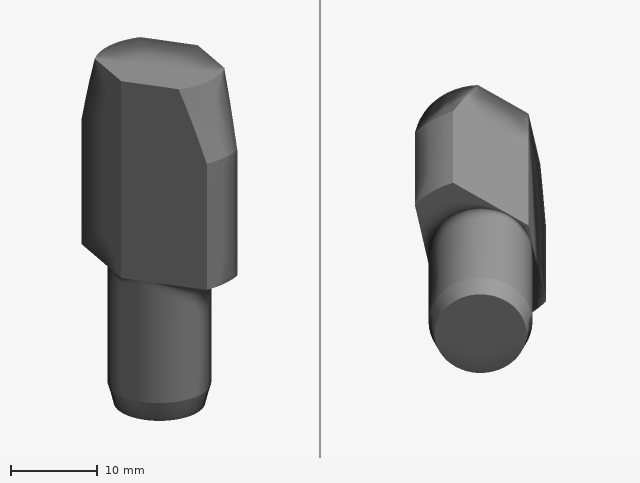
import cadquery as cq
import math

total_height = 43.0
head_height = 25.0
head_diameter = 20.0
head_width = 13.37
corner_half_width = 2.65
head_taper_height = 9.0
shank_diameter = 12.0
tip_height = 2.6
taper_angle = 15.0

shank_height = total_height - head_height
head_radius = head_diameter / 2
shank_radius = shank_diameter / 2
taper_slope = math.tan(math.radians(taper_angle))
head_top_radius = head_radius - head_taper_height * taper_slope
tip_radius = shank_radius - tip_height * taper_slope
ridge_y = head_width / 2
corner_x = math.sqrt(head_radius**2 - corner_half_width**2)
diamond_x = corner_x * ridge_y / (ridge_y - corner_half_width)


def revolve_about_z(profile):
    """Turn a half profile of (radius, height) points about the Z axis."""
    return cq.Workplane("XZ").polyline(profile).close().revolve(360, (0, 0), (0, 1))


def make_head():
    """Round head with a tapered top, cut to a diamond by four flats."""
    turned = revolve_about_z([
        (0, shank_height),
        (head_radius, shank_height),
        (head_radius, total_height - head_taper_height),
        (head_top_radius, total_height),
        (0, total_height),
    ])
    diamond = (
        cq.Workplane("XY", origin=(0, 0, shank_height))
        .polyline([(diamond_x, 0), (0, ridge_y), (-diamond_x, 0), (0, -ridge_y)])
        .close()
        .extrude(head_height)
    )
    return turned.intersect(diamond)


def make_shank():
    """Cylindrical shank with a conical lead-in at the bottom."""
    return revolve_about_z([
        (0, 0),
        (tip_radius, 0),
        (shank_radius, tip_height),
        (shank_radius, shank_height),
        (0, shank_height),
    ])


result = make_head().union(make_shank())